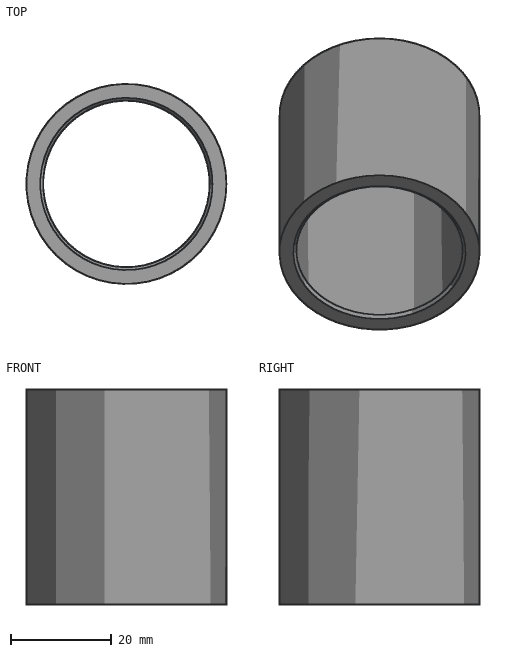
import cadquery as cq

length = 43.0
outer_diameter = 40.0
bore_diameter = 33.2
chamfer_size = 0.6

tube = (
    cq.Workplane("XY")
    .circle(outer_diameter / 2)
    .circle(bore_diameter / 2)
    .extrude(length)
)

bore_edges = tube.edges(cq.selectors.RadiusNthSelector(0))
result = bore_edges.chamfer(chamfer_size)